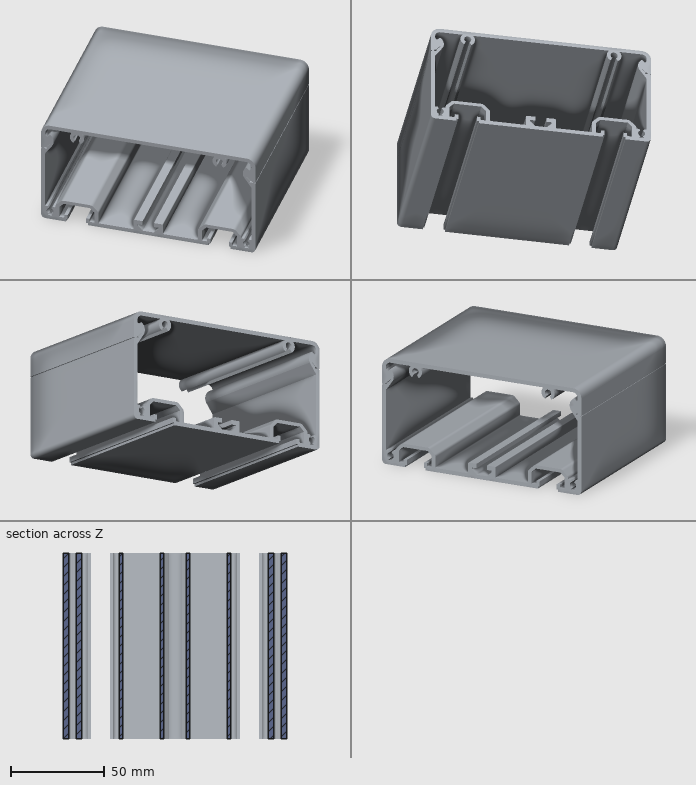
import cadquery as cq
import math

width = 120.0
length = 100.0
height = 60.0
wall = 2.3
top_radius = 5.0
bottom_radius = 2.4
half_width = width / 2
inner_side = half_width - wall
inner_top = height - wall

rail_x = 40.0
screw_radius = 1.9
boss_radius = 4.0
boss_z = height - 5.0
boss_gap_half_angle = math.radians(30)

channel_offset = 5.0
channel_top = 7.9
channel_flare = 1.3
channel_neck = 0.7
shelf_radius = 0.5
channel_x = half_width - channel_offset
channel_z = channel_offset

rail_half_width = 12.1
rail_top = 13.1
rail_flat_half = 8.3
rail_shoulder_radius = 1.8
rail_top_radius = 2.4
rail_foot_radius = 0.6
rail_cavity_half_width = 9.8
rail_cavity_top = 11.2
rail_cavity_chamfer = 2.4
slot_half_width = 5.2
slot_mouth_half_width = 6.1
slot_mouth_depth = 1.3
lip_thickness = 1.9
lip_top = 4.2
lip_foot_radius = 0.5

clip_half_width = 8.2
clip_top = 8.4
clip_corner_radius = 0.5
clip_mouth_half_width = 3.1
clip_lip_thickness = 2.5
clip_cavity_half_width = 5.9
clip_slope = 2.8

seam_depth = 15.1
seam_size = 0.5
wedge_floor_depth = 15.0
wedge_outer_inset = 1.3
wedge_inner_inset = 3.2
wedge_top_depth = 14.0
wedge_top_inset = 2.3
wedge_top_width = 0.6
slit_width = 0.15
slit_start_inset = 2.6
slit_length = 2.3
hook_notch_top = (wall, 6.2)
hook_notch_bottom = (3.2, 7.5)
hook_tip = (4.9, 5.9)
hook_bulge = (7.0, 9.1)
hook_arc_end = (6.5, 12.2)
hook_top_depth = 5.5
hook_bottom_depth = 18.2


def prism(outline):
    """Extrude a closed XZ outline over the full length, centred on Y = 0."""
    return outline.extrude(length / 2, both=True)


def polygon(points):
    return prism(cq.Workplane("XZ").polyline(points).close())


def box(x_min, x_max, z_min, z_max):
    return polygon([(x_min, z_min), (x_max, z_min), (x_max, z_max), (x_min, z_max)])


def cylinder(x, z, radius):
    return prism(cq.Workplane("XZ").center(x, z).circle(radius))


def fillet_edge(body, x, z, radius):
    """Round the lengthwise edge nearest to the given XZ position."""
    nearest = cq.selectors.NearestToPointSelector((x, 0, z))
    return body.edges("|Y").edges(nearest).fillet(radius)


def make_shell():
    outer = box(-half_width, half_width, 0, height)
    outer = outer.edges("|Y and >Z").fillet(top_radius)
    outer = outer.edges("|Y and <Z").fillet(bottom_radius)
    inner = box(-inner_side, inner_side, wall, inner_top)
    inner = inner.edges("|Y and >Z").fillet(top_radius - wall)
    return outer.cut(inner)


def make_screw_boss():
    boss = cylinder(rail_x, boss_z, boss_radius)
    boss = boss.intersect(box(0, half_width, 0, inner_top))
    reach = 2 * boss_radius
    spread = reach * math.tan(boss_gap_half_angle)
    gap = polygon([
        (rail_x, boss_z),
        (rail_x - spread, boss_z - reach),
        (rail_x + spread, boss_z - reach),
    ])
    return boss.cut(gap).cut(cylinder(rail_x, boss_z, screw_radius))


def make_corner_block():
    """Material around the screw channel, from the rail to the side wall."""
    return box(rail_x + rail_cavity_half_width, inner_side, wall, channel_top)


def make_screw_channel():
    flares = polygon([
        (channel_x - channel_flare, channel_top),
        (channel_x + channel_flare, channel_top),
        (channel_x + channel_neck, channel_z + screw_radius),
        (channel_x + channel_neck, channel_z - screw_radius),
        (channel_x + channel_flare, wall),
        (channel_x - channel_flare, wall),
        (channel_x - channel_neck, channel_z - screw_radius),
        (channel_x - channel_neck, channel_z + screw_radius),
    ])
    return flares.union(cylinder(channel_x, channel_z, screw_radius))


def make_rail():
    shoulder_z = rail_top - (rail_half_width - rail_flat_half)
    rail = polygon([
        (rail_x - rail_half_width, 0),
        (rail_x + rail_half_width, 0),
        (rail_x + rail_half_width, shoulder_z),
        (rail_x + rail_flat_half, rail_top),
        (rail_x - rail_flat_half, rail_top),
        (rail_x - rail_half_width, shoulder_z),
    ])
    for side in (-1, 1):
        rail = fillet_edge(rail, rail_x + side * rail_half_width, shoulder_z, rail_shoulder_radius)
        rail = fillet_edge(rail, rail_x + side * rail_flat_half, rail_top, rail_top_radius)
    return rail


def make_rail_cavity():
    """Inside of the rail, with the slot and its wider mouth."""
    cavity = box(rail_x - rail_cavity_half_width, rail_x + rail_cavity_half_width, wall, rail_cavity_top)
    cavity = cavity.edges("|Y and >Z").chamfer(rail_cavity_chamfer)
    for side in (-1, 1):
        lip_center = rail_x + side * (slot_half_width + lip_thickness / 2)
        lip_outer = lip_center + side * lip_thickness / 2
        cavity = cavity.cut(box(lip_center - lip_thickness / 2, lip_center + lip_thickness / 2, wall, lip_top))
        cavity = fillet_edge(cavity, lip_outer, wall, lip_foot_radius)
    slot = box(rail_x - slot_half_width, rail_x + slot_half_width, 0, lip_top)
    mouth = box(rail_x - slot_mouth_half_width, rail_x + slot_mouth_half_width, 0, slot_mouth_depth)
    return cavity.union(slot).union(mouth)


def make_clip():
    clip = box(-clip_half_width, clip_half_width, 0, clip_top)
    clip = clip.edges("|Y and >Z").fillet(clip_corner_radius)
    lip_bottom = clip_top - clip_lip_thickness
    floor_half_width = clip_cavity_half_width - clip_slope
    slope_top = wall + clip_slope
    cavity = polygon([
        (-floor_half_width, wall),
        (floor_half_width, wall),
        (clip_cavity_half_width, slope_top),
        (clip_cavity_half_width, lip_bottom),
        (-clip_cavity_half_width, lip_bottom),
        (-clip_cavity_half_width, slope_top),
    ])
    mouth = box(-clip_mouth_half_width, clip_mouth_half_width, wall, clip_top)
    return clip.cut(cavity).cut(mouth)


def joint_point(inset, depth):
    """Point at a distance from the outer side face and from the top face."""
    return (half_width - inset, height - depth)


def make_joint_hook():
    """Thickened hook below the top corner, running down into the side wall."""
    outline = (
        cq.Workplane("XZ")
        .moveTo(*joint_point(wall / 2, hook_top_depth))
        .lineTo(*joint_point(wall, hook_top_depth))
        .lineTo(*joint_point(*hook_notch_top))
        .lineTo(*joint_point(*hook_notch_bottom))
        .lineTo(*joint_point(*hook_tip))
        .threePointArc(joint_point(*hook_bulge), joint_point(*hook_arc_end))
        .lineTo(*joint_point(wall, hook_bottom_depth))
        .lineTo(*joint_point(wall / 2, hook_bottom_depth))
        .close()
    )
    return prism(outline)


def make_joint_gap():
    """Seam groove in the side face, wedge gap behind it and a 45 degree slit into the hook."""
    wedge = polygon([
        joint_point(wedge_outer_inset, wedge_floor_depth),
        joint_point(wedge_inner_inset, wedge_floor_depth),
        joint_point(wedge_top_inset + wedge_top_width, wedge_top_depth),
        joint_point(wedge_top_inset, wedge_top_depth),
    ])
    slit_end_inset = slit_start_inset + slit_length
    slit_end_depth = wedge_top_depth - slit_length
    slit = polygon([
        joint_point(slit_start_inset, wedge_top_depth),
        joint_point(slit_start_inset + slit_width, wedge_top_depth + slit_width),
        joint_point(slit_end_inset + slit_width, slit_end_depth + slit_width),
        joint_point(slit_end_inset, slit_end_depth),
    ])
    seam_z = height - seam_depth
    groove = box(half_width - seam_size, half_width, seam_z - seam_size / 2, seam_z + seam_size / 2)
    return wedge.union(slit).union(groove)


def both_sides(half):
    return half.union(half.mirror("YZ"))


result = make_shell().union(make_clip())
for added in (make_screw_boss(), make_rail(), make_corner_block(), make_joint_hook()):
    result = result.union(both_sides(added))
for removed in (make_rail_cavity(), make_screw_channel(), make_joint_gap()):
    result = result.cut(both_sides(removed))
for side in (-1, 1):
    result = fillet_edge(result, side * (rail_x + rail_half_width), channel_top, shelf_radius)
    result = fillet_edge(result, side * (rail_x - rail_half_width), wall, rail_foot_radius)